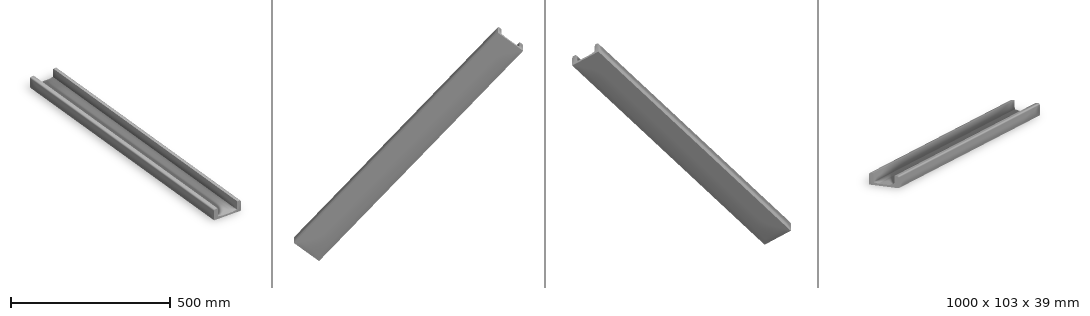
import cadquery as cq

length = 1000.0
width = 103.0
height = 39.0

flange_top_thickness = 14.0
inner_wall_lean = 1.5
floor_thickness = 6.5
floor_edge_thickness = 9.5
flat_floor_width = 40.0
outer_edge_radius = 5.0

half_width = width / 2
half_flat = flat_floor_width / 2
half_opening = half_width - flange_top_thickness
half_base = half_opening - inner_wall_lean

channel = (
    cq.Workplane("YZ")
    .moveTo(-half_width, 0)
    .lineTo(half_width, 0)
    .lineTo(half_width, height)
    .lineTo(half_opening, height)
    .lineTo(half_base, floor_edge_thickness)
    .lineTo(half_flat, floor_thickness)
    .lineTo(-half_flat, floor_thickness)
    .lineTo(-half_base, floor_edge_thickness)
    .lineTo(-half_opening, height)
    .lineTo(-half_width, height)
    .close()
    .extrude(length / 2, both=True)
)

result = channel.edges("|X and >Z").edges("<Y or >Y").fillet(outer_edge_radius)